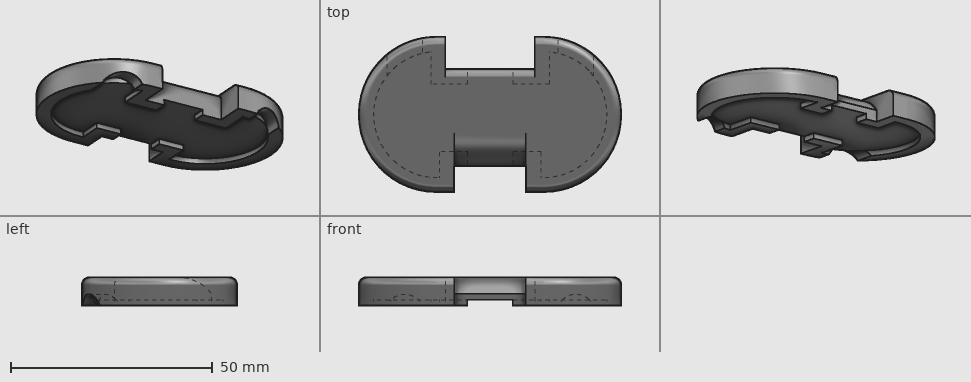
import cadquery as cq
import math

length = 65.0
width = 38.5
height = 7.0
rim_radius = 1.95
lobe_radius = width / 2

back_notch_width = 22.1
back_wall_y = 11.25
front_notch_width = 17.8
front_wall_y = -12.8

ramp_start_y = -4.8
ramp_end_z = 3.0

recess_depth = 1.4
rim_wall = 3.65
channel_width = 11.2

port_x = 21.2
port_half_width = 4.4
port_height = 2.85


def block(x_size, y_min, y_max, z_size):
    """Box centred on X, spanning the given Y range, standing on Z = 0."""
    return (
        cq.Workplane("XY")
        .box(x_size, y_max - y_min, z_size, centered=(True, False, False))
        .translate((0, y_min, 0))
    )


def stadium(inset, thickness):
    """Stadium plate, inset from the outer outline."""
    return (
        cq.Workplane("XY")
        .slot2D(length - 2 * inset, width - 2 * inset)
        .extrude(thickness)
    )


def make_body():
    outline = stadium(0, height).faces(">Z").edges().fillet(rim_radius)
    bridge = (
        block(back_notch_width, 0, back_wall_y, height)
        .faces(">Y")
        .edges(">Z")
        .fillet(rim_radius)
    )
    back_half = block(back_notch_width, 0, lobe_radius, height)
    return outline.cut(back_half).union(bridge)


def front_notch():
    """Front notch with its ramp, as a YZ profile swept along X."""
    drop = height - ramp_end_z
    run = ramp_start_y - front_wall_y
    radius = (run**2 + drop**2) / (2 * drop)
    half_angle = math.asin(run / radius) / 2
    middle = (
        ramp_start_y - radius * math.sin(half_angle),
        height - radius * (1 - math.cos(half_angle)),
    )
    return (
        cq.Workplane("YZ")
        .moveTo(ramp_start_y, height)
        .threePointArc(middle, (front_wall_y, ramp_end_z))
        .lineTo(front_wall_y, 0)
        .lineTo(-lobe_radius, 0)
        .lineTo(-lobe_radius, height)
        .close()
        .extrude(front_notch_width / 2, both=True)
    )


def underside_recess():
    """Shallow recess leaving a wall along the outline and around the notches."""
    recess = stadium(rim_wall, recess_depth)
    back_wall = block(back_notch_width + 2 * rim_wall, back_wall_y - rim_wall, lobe_radius, recess_depth)
    front_wall = block(front_notch_width + 2 * rim_wall, -lobe_radius, front_wall_y + rim_wall, recess_depth)
    channel = block(channel_width, -lobe_radius, lobe_radius, recess_depth)
    return recess.cut(back_wall).cut(front_wall).union(channel)


def port(x):
    """Arched opening through the wall between the recess and the back edge."""
    return (
        cq.Workplane("XZ")
        .moveTo(x - port_half_width, 0)
        .threePointArc((x, port_height), (x + port_half_width, 0))
        .close()
        .extrude(-lobe_radius)
        .intersect(stadium(0, height))
        .cut(stadium(rim_wall, height))
    )


result = make_body().cut(front_notch()).cut(underside_recess())
for side in (-1, 1):
    result = result.cut(port(side * port_x))